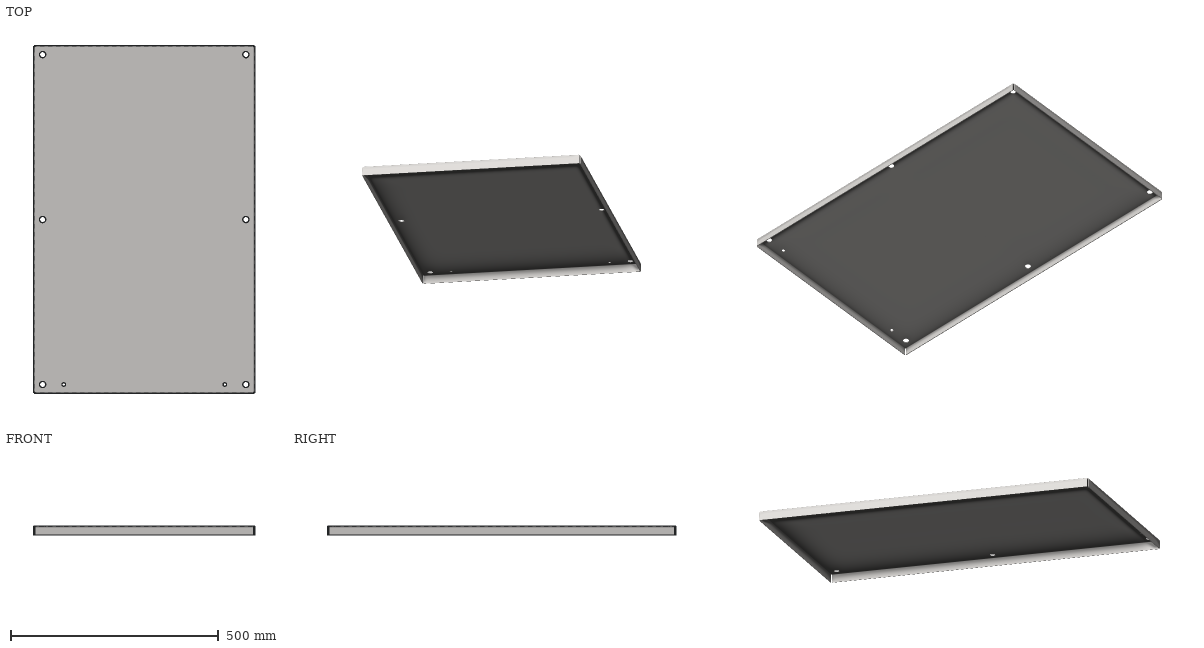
import cadquery as cq

WIDTH = 533.4
LENGTH = 838.2
HEIGHT = 22.23

SHEET = 1.9
INNER_BEND_RADIUS = 1.0
OUTER_BEND_RADIUS = INNER_BEND_RADIUS + SHEET
CORNER_NOTCH = 3.0

MOUNTING_HOLE_DIAMETER = 14.3
HOLE_INSET = 22.225
MOUNTING_HOLE_X = WIDTH / 2 - HOLE_INSET
END_ROW_Y = LENGTH / 2 - HOLE_INSET

SMALL_HOLE_DIAMETER = 7.92
SMALL_HOLE_X = 193.7


def edge_rounded_block(width, length, height, radius):
    """Block standing on Z = 0, with its top edges rounded."""
    block = cq.Workplane("XY").box(width, length, height, centered=(True, True, False))
    return block.faces(">Z").edges().fillet(radius)


def folded_tray():
    """Flat sheet with a flange bent down along each of the four edges."""
    outside = edge_rounded_block(WIDTH, LENGTH, HEIGHT, OUTER_BEND_RADIUS)
    inside = edge_rounded_block(
        WIDTH - 2 * SHEET, LENGTH - 2 * SHEET, HEIGHT - SHEET, INNER_BEND_RADIUS
    )
    return outside.cut(inside)


def corner_notches():
    """Square columns at the four corners, over the full height."""
    return (
        cq.Workplane("XY")
        .rect(WIDTH - CORNER_NOTCH, LENGTH - CORNER_NOTCH, forConstruction=True)
        .vertices()
        .rect(CORNER_NOTCH, CORNER_NOTCH)
        .extrude(HEIGHT)
    )


def hole_pair(diameter, x, y):
    """Two vertical cylinders placed symmetrically about the YZ plane."""
    return cq.Workplane("XY").pushPoints([(-x, y), (x, y)]).circle(diameter / 2).extrude(HEIGHT)


panel = folded_tray().cut(corner_notches())

for row_y in (-END_ROW_Y, 0, END_ROW_Y):
    panel = panel.cut(hole_pair(MOUNTING_HOLE_DIAMETER, MOUNTING_HOLE_X, row_y))

result = panel.cut(hole_pair(SMALL_HOLE_DIAMETER, SMALL_HOLE_X, -END_ROW_Y))